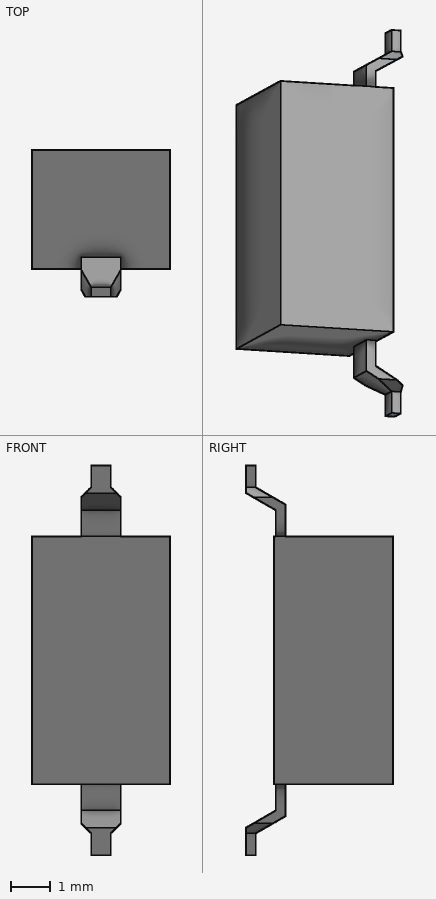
import cadquery as cq
import math

BODY_WIDTH = 3.48
BODY_DEPTH = 3.0
BODY_HEIGHT = 6.24

OVERALL_HEIGHT = 9.8
LEAD_PROTRUSION = 0.7
LEAD_THICKNESS = 0.25
LEAD_INSET = 0.05
LEAD_WIDTH = 1.0
TIP_WIDTH = 0.5
TIP_LENGTH = 0.55
JOG_ANGLE = 30.0
SHOULDER_HEIGHT = (LEAD_WIDTH - TIP_WIDTH) / 2

BODY_FRONT = -BODY_DEPTH / 2
BODY_TOP = BODY_HEIGHT / 2
LEAD_TOP = OVERALL_HEIGHT / 2
TIP_FRONT = BODY_FRONT - LEAD_PROTRUSION
TIP_BACK = TIP_FRONT + LEAD_THICKNESS
ROOT_FRONT = BODY_FRONT + LEAD_INSET
ROOT_BACK = ROOT_FRONT + LEAD_THICKNESS
TIP_BEND_Z = LEAD_TOP - TIP_LENGTH

JOG_SLOPE = math.tan(math.radians(JOG_ANGLE))
JOG_RISE = (ROOT_BACK - TIP_BACK) * JOG_SLOPE
FRONT_CORNER_DROP = LEAD_THICKNESS * JOG_SLOPE


def make_body():
    return cq.Workplane("XY").box(BODY_WIDTH, BODY_DEPTH, BODY_HEIGHT)


def make_bent_strip():
    """Full-width strip with the double bend of the upper lead."""
    side_profile = [
        (ROOT_BACK, BODY_TOP),
        (ROOT_BACK, TIP_BEND_Z - JOG_RISE),
        (TIP_BACK, TIP_BEND_Z),
        (TIP_BACK, LEAD_TOP),
        (TIP_FRONT, LEAD_TOP),
        (TIP_FRONT, TIP_BEND_Z - FRONT_CORNER_DROP),
        (ROOT_FRONT, TIP_BEND_Z - FRONT_CORNER_DROP - JOG_RISE),
        (ROOT_FRONT, BODY_TOP),
    ]
    return cq.Workplane("YZ").polyline(side_profile).close().extrude(LEAD_WIDTH / 2, both=True)


def make_lead_outline():
    """Front outline that narrows the lead to its tip, as a prism along Y."""
    half_width = LEAD_WIDTH / 2
    half_tip = TIP_WIDTH / 2
    shoulder_bottom = TIP_BEND_Z - SHOULDER_HEIGHT
    outline = [
        (-half_width, BODY_TOP),
        (-half_width, shoulder_bottom),
        (-half_tip, TIP_BEND_Z),
        (-half_tip, LEAD_TOP),
        (half_tip, LEAD_TOP),
        (half_tip, TIP_BEND_Z),
        (half_width, shoulder_bottom),
        (half_width, BODY_TOP),
    ]
    return cq.Workplane("XZ").polyline(outline).close().extrude(-TIP_FRONT)


upper_lead = make_bent_strip().intersect(make_lead_outline())
lower_lead = upper_lead.mirror("XY")

result = make_body().union(upper_lead).union(lower_lead)